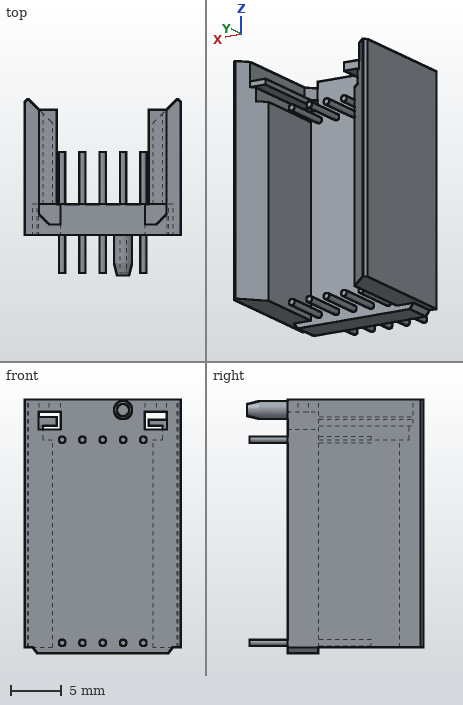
import cadquery as cq

width = 15.4
length = 25.0
center_x = width / 2
base_thickness = 3.05
wall_height = 13.4
wall_thickness = 1.42

inner_bevel = 1.05
outer_bevel = 0.3
bevel_foot_y = wall_height - inner_bevel

tab_height = 0.58
tab_top_inset = 0.8
tab_bottom_inset = 1.25

rib_edge = 3.18
rib_bottom_z = 22.4
left_rib_height = 0.88
right_rib_height = 0.6
upper_step_thickness = 1.82
lower_step_thickness = 2.75
lower_step_z = 21.0

pocket_edge = 3.55
pocket_floor_y = 1.05
pocket_bevel = 1.0
window_edge = 1.38
window_bottom_z = 22.05
window_top_z = 23.78

pin_count = 5
pin_pitch = 2.0
pin_diameter = 0.65
pin_tail = 3.75
pin_tip_y = 8.2
pin_bottom_row_z = 1.02
pin_row_spacing = 20.0

peg_x = center_x + pin_pitch
peg_z = 23.95
peg_diameter = 1.8
peg_tip_diameter = 1.2
peg_straight_length = 2.78
peg_length = 4.0


def box(x0, x1, y0, y1, z0, z1):
    """Box given by its limits along each axis."""
    return cq.Workplane("XY").box(x1 - x0, y1 - y0, z1 - z0, centered=False).translate((x0, y0, z0))


def prism(points, z0, z1):
    """Outline in X and Y extruded from z0 up to z1."""
    return cq.Workplane("XY").workplane(offset=z0).polyline(points).close().extrude(z1 - z0)


def mirror_across(left_side):
    """The right-hand twin of a left-hand solid."""
    return left_side.mirror("YZ", (center_x, 0, 0))


def mirrored(left_side):
    """A left-hand solid together with its right-hand twin."""
    return left_side.union(mirror_across(left_side))


def left_wall(thickness, top_z):
    """Side wall; thicker levels meet the same inner bevel plane lower down."""
    foot_y = bevel_foot_y - (thickness - wall_thickness)
    outline = [
        (0, 0),
        (0, wall_height - outer_bevel),
        (outer_bevel, wall_height),
        (wall_thickness - inner_bevel, wall_height),
        (thickness, foot_y),
        (thickness, 0),
    ]
    return prism(outline, tab_height, top_z)


def make_body():
    base = box(0, width, 0, base_thickness, tab_height, length)
    tab_outline = [
        (tab_top_inset, tab_height),
        (tab_bottom_inset, 0),
        (width - tab_bottom_inset, 0),
        (width - tab_top_inset, tab_height),
    ]
    tab = cq.Workplane("XZ").polyline(tab_outline).close().extrude(-base_thickness)
    body = base.union(tab)
    wall_levels = [
        (wall_thickness, length),
        (upper_step_thickness, rib_bottom_z),
        (lower_step_thickness, lower_step_z),
    ]
    for thickness, top_z in wall_levels:
        body = body.union(mirrored(left_wall(thickness, top_z)))
    return body


def make_latch_openings():
    pocket_outline = [
        (wall_thickness, base_thickness),
        (wall_thickness, pocket_floor_y + pocket_bevel),
        (wall_thickness + pocket_bevel, pocket_floor_y),
        (pocket_edge, pocket_floor_y),
        (pocket_edge, base_thickness),
    ]
    pocket = prism(pocket_outline, window_bottom_z, length)
    window = box(window_edge, pocket_edge, 0, base_thickness, window_bottom_z, window_top_z)
    return mirrored(pocket.union(window))


def left_rib(height):
    return box(
        wall_thickness, rib_edge,
        base_thickness, bevel_foot_y,
        rib_bottom_z, rib_bottom_z + height,
    )


def make_pins():
    first_x = center_x - pin_pitch * (pin_count - 1) / 2
    centers = []
    for row_z in (pin_bottom_row_z, pin_bottom_row_z + pin_row_spacing):
        for column in range(pin_count):
            centers.append((first_x + column * pin_pitch, row_z))
    pins = cq.Workplane("XZ", origin=(0, pin_tip_y, 0)).pushPoints(centers)
    return pins.circle(pin_diameter / 2).extrude(pin_tip_y + pin_tail)


def make_peg():
    half_profile = [
        (0, 0),
        (peg_diameter / 2, 0),
        (peg_diameter / 2, -peg_straight_length),
        (peg_tip_diameter / 2, -peg_length),
        (0, -peg_length),
    ]
    peg = cq.Workplane("XY").polyline(half_profile).close().revolve(360, (0, 0), (0, 1))
    return peg.translate((peg_x, 0, peg_z))


result = (
    make_body()
    .cut(make_latch_openings())
    .union(left_rib(left_rib_height))
    .union(mirror_across(left_rib(right_rib_height)))
    .union(make_pins())
    .union(make_peg())
)